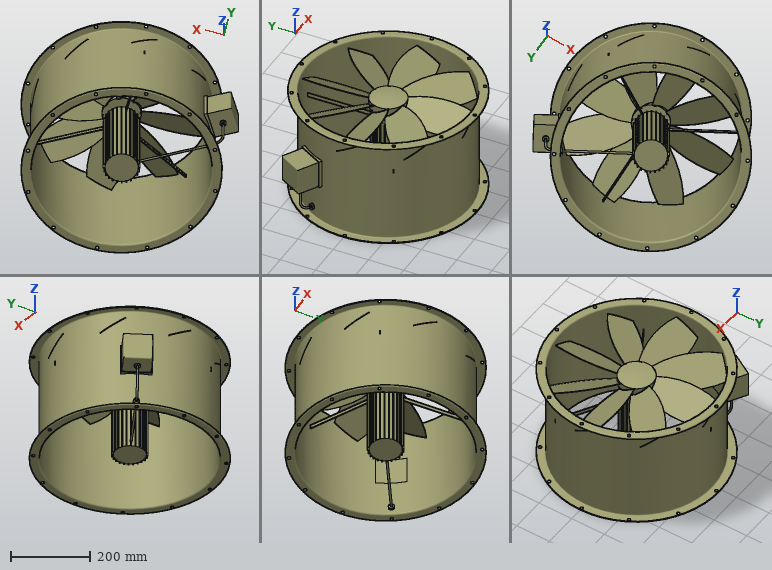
import cadquery as cq
import math

casing_height = 300.0
flange_radius = 255.0
tube_radius = 230.0
sheet = 1.5
bend_radius = 5.0
bolt_circle_radius = 245.0
bolt_hole_diameter = 8.5
bolt_count = 12

hub_radius = 50.0
hub_bottom = 252.5
hub_rim_height = 274.5
dome_rise = 5.0
blade_count = 8
blade_pitch = 30
blade_thickness = 2.0
blade_middle_height = 261.5
blade_root_half_chord = 27.5
blade_widest_half_chord = 49.0
blade_tip_half_chord = 37.0
blade_widest_radius = 151.0
blade_root_radius = 44.5

motor_radius = 42.5
motor_bottom = 15.0
motor_top = 223.5
fin_tip_radius = 46.5
fin_thickness = 2.0
fin_count = 24
fin_top_gap = 5.0
strut_angles = (90, 210, 330)
strut_thickness = 2.5
strut_height = 11.5
strut_middle_height = 209.0

box_angle = 150
box_size = 75.0
box_face_distance = 297.5
box_edge_radius = 3.0
base_size = 80.0
base_face_distance = 235.5
box_middle_height = casing_height / 2

cable_diameter = 5.5
cable_drop_distance = 266.0
cable_entry_height = 26.0
cable_bend_radius = 28.5
gland_diameter = 16.0
gland_length = 4.0
sleeve_diameter = 7.0
sleeve_length = 6.5

bore_radius = tube_radius - sheet


def turned(body, angle):
    """Turn a body about the fan axis."""
    return body.rotate((0, 0, 0), (0, 0, 1), angle)


def full_height_cylinder(radius):
    """A solid cylinder on the fan axis, as tall as the casing."""
    return cq.Workplane("XY").circle(radius).extrude(casing_height)


def rod_x(diameter, start, end, height):
    """A round rod along X between two distances from the fan axis."""
    return (
        cq.Workplane("YZ", origin=(start, 0, height))
        .circle(diameter / 2)
        .extrude(end - start)
    )


def make_hub():
    dome_sphere_radius = (hub_radius**2 + dome_rise**2) / (2 * dome_rise)
    return (
        cq.Workplane("XZ")
        .moveTo(0, hub_bottom)
        .lineTo(hub_radius, hub_bottom)
        .lineTo(hub_radius, hub_rim_height)
        .radiusArc((0, hub_rim_height + dome_rise), -dome_sphere_radius)
        .close()
        .revolve(360, (0, 0), (0, 1))
    )


def make_blade():
    """A flat blade along +X, pitched about its own axis and trimmed to the bore."""
    blade = (
        cq.Workplane("XY")
        .moveTo(blade_root_radius, -blade_root_half_chord)
        .threePointArc(
            (blade_widest_radius, -blade_widest_half_chord), (bore_radius, -blade_tip_half_chord)
        )
        .lineTo(tube_radius, -blade_tip_half_chord)
        .lineTo(tube_radius, blade_tip_half_chord)
        .lineTo(bore_radius, blade_tip_half_chord)
        .threePointArc(
            (blade_widest_radius, blade_widest_half_chord), (blade_root_radius, blade_root_half_chord)
        )
        .close()
        .extrude(blade_thickness / 2, both=True)
        .rotate((0, 0, 0), (1, 0, 0), blade_pitch)
        .translate((0, 0, blade_middle_height))
    )
    return blade.intersect(full_height_cylinder(bore_radius))


def make_impeller():
    impeller = make_hub()
    blade = make_blade()
    for i in range(blade_count):
        impeller = impeller.union(turned(blade, i * 360 / blade_count))
    return impeller


def make_motor():
    motor = (
        cq.Workplane("XY", origin=(0, 0, motor_bottom))
        .circle(motor_radius)
        .extrude(motor_top - motor_bottom)
    )
    fin = (
        cq.Workplane("XY", origin=(fin_tip_radius / 2, 0, motor_bottom))
        .rect(fin_tip_radius, fin_thickness)
        .extrude(motor_top - fin_top_gap - motor_bottom)
    )
    for i in range(fin_count):
        motor = motor.union(turned(fin, i * 360 / fin_count))
    strut = (
        cq.Workplane("XY", origin=(bore_radius / 2, 0, strut_middle_height))
        .box(bore_radius, strut_thickness, strut_height)
    )
    for angle in strut_angles:
        motor = motor.union(turned(strut, angle))
    return motor.intersect(full_height_cylinder(bore_radius))


def make_half_casing():
    """The upper half of the tube with its flange."""
    bend_height = casing_height - bend_radius
    inner_bend = bend_radius - sheet
    return (
        cq.Workplane("XZ")
        .moveTo(bore_radius, casing_height / 2)
        .lineTo(bore_radius, bend_height)
        .radiusArc((bore_radius + bend_radius, casing_height), bend_radius)
        .lineTo(flange_radius - bend_radius, casing_height)
        .radiusArc((flange_radius, bend_height), bend_radius)
        .lineTo(flange_radius - sheet, bend_height)
        .radiusArc((flange_radius - bend_radius, casing_height - sheet), -inner_bend)
        .lineTo(bore_radius + bend_radius, casing_height - sheet)
        .radiusArc((tube_radius, bend_height), -inner_bend)
        .lineTo(tube_radius, casing_height / 2)
        .close()
        .revolve(360, (0, 0), (0, 1))
    )


def make_casing():
    upper = make_half_casing()
    lower = upper.mirror("XY", (0, 0, casing_height / 2))
    bolt_holes = (
        cq.Workplane("XY")
        .polarArray(bolt_circle_radius, 0, 360, bolt_count)
        .circle(bolt_hole_diameter / 2)
        .extrude(casing_height)
    )
    cable_hole = rod_x(cable_diameter, fin_tip_radius, flange_radius, cable_entry_height)
    return upper.union(lower).cut(bolt_holes).cut(turned(cable_hole, box_angle))


def make_box_base():
    """A square plate, flat outside and hollowed on its back to fit the tube."""
    base = (
        cq.Workplane("XY", origin=(base_face_distance / 2, 0, box_middle_height))
        .box(base_face_distance, base_size, base_size)
    )
    return turned(base.cut(full_height_cylinder(tube_radius)), box_angle)


def make_terminal_box():
    depth = box_face_distance - base_face_distance
    box = (
        cq.Workplane("XY", origin=(base_face_distance + depth / 2, 0, box_middle_height))
        .box(depth, box_size, box_size)
        .faces(">X")
        .edges()
        .fillet(box_edge_radius)
    )
    return turned(box, box_angle)


def make_cable():
    """Cable from the box down, round a bend and through the casing to the motor."""
    box_bottom = box_middle_height - box_size / 2
    bend_top = cable_entry_height + cable_bend_radius
    bend_end = cable_drop_distance - cable_bend_radius
    middle = cable_bend_radius * math.sqrt(0.5)
    path = (
        cq.Workplane("XZ")
        .moveTo(cable_drop_distance, box_bottom)
        .lineTo(cable_drop_distance, bend_top)
        .threePointArc((bend_end + middle, bend_top - middle), (bend_end, cable_entry_height))
        .lineTo(fin_tip_radius, cable_entry_height)
    )
    cable = (
        cq.Workplane("XY", origin=(cable_drop_distance, 0, box_bottom))
        .circle(cable_diameter / 2)
        .sweep(path)
    )

    box_gland = (
        cq.Workplane("XY", origin=(cable_drop_distance, 0, box_bottom - gland_length))
        .circle(gland_diameter / 2)
        .extrude(gland_length)
        .faces("<Z").workplane()
        .circle(sleeve_diameter / 2)
        .extrude(sleeve_length)
    )
    outer_gland = rod_x(
        gland_diameter, bore_radius, tube_radius + gland_length, cable_entry_height
    ).cut(full_height_cylinder(tube_radius))
    outer_sleeve = rod_x(
        sleeve_diameter, tube_radius + gland_length / 2, bend_end, cable_entry_height
    )
    inner_gland = rod_x(
        gland_diameter, bore_radius - gland_length, tube_radius, cable_entry_height
    ).intersect(full_height_cylinder(bore_radius))
    for fitting in (box_gland, outer_gland, outer_sleeve, inner_gland):
        cable = cable.union(fitting)
    return turned(cable, box_angle)


casing = make_casing()
impeller = make_impeller()
motor = make_motor()
box_base = make_box_base()
terminal_box = make_terminal_box()
cable = make_cable()

result = cq.Compound.makeCompound([
    casing.val(),
    impeller.val(),
    motor.val(),
    box_base.val(),
    terminal_box.val(),
    cable.val(),
])